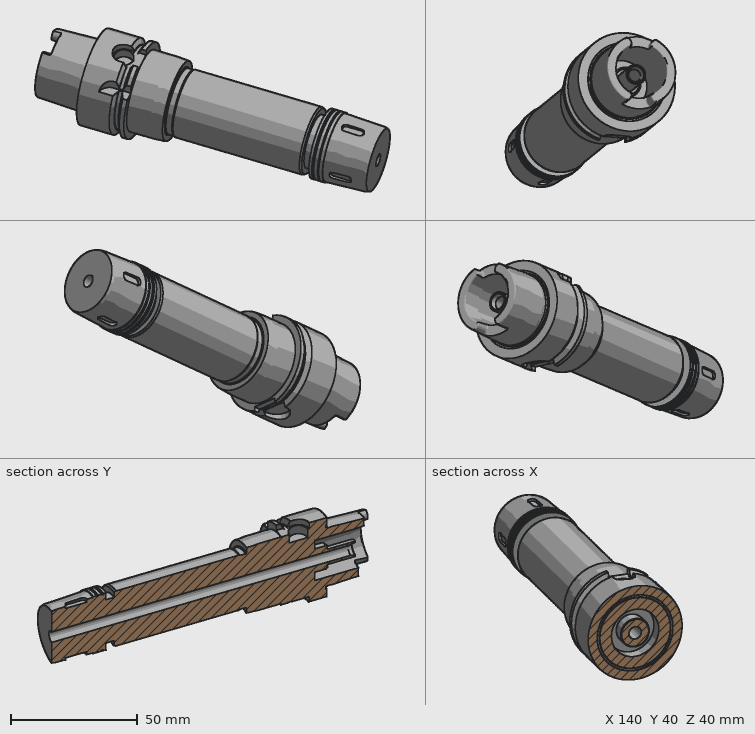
import cadquery as cq
import math

TOTAL_LENGTH = 140.0
TAPER_LENGTH = 20.0
TAPER_END = -TAPER_LENGTH
NUT_END = TOTAL_LENGTH - TAPER_LENGTH

TAPER_SMALL_RADIUS = 14.1
TAPER_LARGE_RADIUS = 14.8
TAPER_EDGE_ROUND = 0.5
RELIEF_LENGTH = 2.2
RELIEF_DEPTH = 0.1
RELIEF_SLOPE_LENGTH = 0.8
RELIEF_CORNER_LENGTH = 0.7
RELIEF_CORNER_HEIGHT = 0.4
FACE_RELIEF_RADIUS = 16.0
FACE_RELIEF_DEPTH = 0.3

FLANGE_RADIUS = 20.0
FLANGE_LENGTH = 20.0
GROOVE_CENTER = 16.0
GROOVE_BOTTOM_RADIUS = 17.4
GROOVE_BOTTOM_WIDTH = 1.7
GROOVE_STEP = 0.4
GROOVE_HALF_ANGLE = 30.0

HUB_RADIUS = 17.0
HUB_CONE_START = 29.8
HUB_END = 35.0
HUB_END_RADIUS = 16.7
HUB_CHAMFER_LENGTH = 0.5
HUB_CHAMFER_DEPTH = 0.1
NECK_RADIUS = 13.7
NECK_CORNER = 0.4
BODY_START = 38.0
BODY_RADIUS = 14.0
BODY_START_CHAMFER = 0.5
BODY_END = 92.8
BODY_END_CHAMFER_LENGTH = 0.8
BODY_END_CHAMFER_DEPTH = 0.4

NUT_NECK_RADIUS = 11.0
NUT_START = 96.2
NUT_RIM_RADIUS = 29.0 / 2
NUT_RIM_END = 101.9
NUT_GROOVE_DEPTH = 0.4
NUT_GROOVES = ((97.5, 0.7), (99.8, 0.4))
NUT_CONE_START_RADIUS = 14.1
NUT_CONE_END_RADIUS = 13.5
NUT_CHAMFER_LENGTH = 1.3
NUT_CHAMFER_DEPTH = 0.4
NUT_SLOT_COUNT = 4
NUT_SLOT_START = 104.7
NUT_SLOT_LENGTH = 9.1
NUT_SLOT_WIDTH = 3.5
NUT_SLOT_CORNER = 1.5
NUT_SLOT_FLOOR = 12.6

CAVITY_RADIUS = 10.5
CAVITY_CONE_LENGTH = 7.8
CAVITY_INNER_RADIUS = 10.0
CAVITY_DEPTH = 25.2
TUBE_RADIUS = 8.0 / 2
TUBE_MOUTH_RADIUS = 3.2
TUBE_MOUTH_DEPTH = 2.1
TUBE_EDGE_CHAMFER = 0.21
TUBE_START = 7.5 + TAPER_END
COLLAR_RADIUS = 6.0
COLLAR_TIP_RADIUS = 10.5 / 2
COLLAR_LENGTH = 5.6
BORE_RADIUS = 2.5

DRIVE_HALF_WIDTH = 8.0 / 2
DRIVE_EDGE_ROUND = 2.5
DRIVE_SHOULDER_HEIGHT = 12.9
DRIVE_FLOOR_FILLET = 0.7
DRIVE_DEPTH_TOP = 3.8
DRIVE_DEPTH_BOTTOM = 6.2

FLANGE_SLOT_START = 7.8
KEYWAY_RADIUS = 4.5
KEYWAY_FLOOR = 17.0
KEYWAY_HOLE_RADIUS = 8.0 / 2
KEYWAY_HOLE_DEPTH = 4.2
WIDE_KEYWAY_RADIUS = 5.5
WIDE_KEYWAY_FLOOR = 17.5
NOTCH_RADIUS = 4.9
NOTCH_WALL = 12.2
NOTCH_FLOOR = 11.9


def turned(points):
    """Solid of revolution about X from (x, radius) points that start and end on the axis."""
    return cq.Workplane("XY").polyline(points).close().revolve(360, (0, 0, 0), (1, 0, 0))


def outer_body():
    groove_half_bottom = GROOVE_BOTTOM_WIDTH / 2
    groove_slope_radius = GROOVE_BOTTOM_RADIUS + GROOVE_STEP
    groove_slope_width = (FLANGE_RADIUS - groove_slope_radius) * math.tan(math.radians(GROOVE_HALF_ANGLE))
    groove_half_top = groove_half_bottom + groove_slope_width
    relief_radius = TAPER_LARGE_RADIUS - RELIEF_DEPTH
    points = [
        (TAPER_END, 0),
        (TAPER_END, TAPER_SMALL_RADIUS),
        (-RELIEF_LENGTH, TAPER_LARGE_RADIUS),
        (RELIEF_SLOPE_LENGTH - RELIEF_LENGTH, relief_radius),
        (FACE_RELIEF_DEPTH - RELIEF_CORNER_LENGTH, relief_radius),
        (FACE_RELIEF_DEPTH, relief_radius + RELIEF_CORNER_HEIGHT),
        (FACE_RELIEF_DEPTH, FACE_RELIEF_RADIUS),
        (0, FACE_RELIEF_RADIUS),
        (0, FLANGE_RADIUS),
        (GROOVE_CENTER - groove_half_top, FLANGE_RADIUS),
        (GROOVE_CENTER - groove_half_bottom, groove_slope_radius),
        (GROOVE_CENTER - groove_half_bottom, GROOVE_BOTTOM_RADIUS),
        (GROOVE_CENTER + groove_half_bottom, GROOVE_BOTTOM_RADIUS),
        (GROOVE_CENTER + groove_half_bottom, groove_slope_radius),
        (GROOVE_CENTER + groove_half_top, FLANGE_RADIUS),
        (FLANGE_LENGTH, FLANGE_RADIUS),
        (FLANGE_LENGTH, HUB_RADIUS),
        (HUB_CONE_START, HUB_RADIUS),
        (HUB_END - HUB_CHAMFER_LENGTH, HUB_END_RADIUS),
        (HUB_END, HUB_END_RADIUS - HUB_CHAMFER_DEPTH),
        (HUB_END, NECK_RADIUS + NECK_CORNER),
        (HUB_END + NECK_CORNER, NECK_RADIUS),
        (BODY_START, NECK_RADIUS),
        (BODY_START + BODY_START_CHAMFER, BODY_RADIUS),
        (BODY_END - BODY_END_CHAMFER_LENGTH, BODY_RADIUS),
        (BODY_END, BODY_RADIUS - BODY_END_CHAMFER_DEPTH),
        (BODY_END, NUT_NECK_RADIUS),
        (NUT_START, NUT_NECK_RADIUS),
        (NUT_START, NUT_RIM_RADIUS),
    ]
    for start, width in NUT_GROOVES:
        points += [
            (start, NUT_RIM_RADIUS),
            (start, NUT_RIM_RADIUS - NUT_GROOVE_DEPTH),
            (start + width, NUT_RIM_RADIUS - NUT_GROOVE_DEPTH),
            (start + width, NUT_RIM_RADIUS),
        ]
    points += [
        (NUT_RIM_END, NUT_RIM_RADIUS),
        (NUT_RIM_END, NUT_CONE_START_RADIUS),
        (NUT_END - NUT_CHAMFER_LENGTH, NUT_CONE_END_RADIUS),
        (NUT_END, NUT_CONE_END_RADIUS - NUT_CHAMFER_DEPTH),
        (NUT_END, 0),
    ]
    return turned(points)


def cavity():
    cone_end = TAPER_END + CAVITY_CONE_LENGTH
    floor = TAPER_END + CAVITY_DEPTH
    return turned([
        (TAPER_END, 0),
        (TAPER_END, CAVITY_RADIUS),
        (cone_end, CAVITY_INNER_RADIUS),
        (floor, CAVITY_INNER_RADIUS),
        (floor, 0),
    ])


def coolant_tube():
    floor = TAPER_END + CAVITY_DEPTH
    collar_start = floor - COLLAR_LENGTH
    collar_chamfer = COLLAR_RADIUS - COLLAR_TIP_RADIUS
    return turned([
        (TUBE_START, 0),
        (TUBE_START, TUBE_RADIUS - TUBE_EDGE_CHAMFER),
        (TUBE_START + TUBE_EDGE_CHAMFER, TUBE_RADIUS),
        (collar_start, TUBE_RADIUS),
        (collar_start, COLLAR_TIP_RADIUS),
        (collar_start + collar_chamfer, COLLAR_RADIUS),
        (floor, COLLAR_RADIUS),
        (floor, 0),
    ])


def coolant_bore():
    return turned([
        (TUBE_START, 0),
        (TUBE_START, TUBE_MOUTH_RADIUS),
        (TUBE_START + TUBE_MOUTH_DEPTH, BORE_RADIUS),
        (NUT_END, BORE_RADIUS),
        (NUT_END, 0),
    ])


def drive_slot(depth):
    """Cutter for a drive slot on the +Z side, flaring outwards to round the edges of its walls."""
    inner = CAVITY_RADIUS / 2
    outer = FLANGE_RADIUS
    flare_start = DRIVE_SHOULDER_HEIGHT - DRIVE_EDGE_ROUND
    flare_width = DRIVE_HALF_WIDTH + DRIVE_EDGE_ROUND
    profile = (
        cq.Workplane("YZ", origin=(TAPER_END, 0, 0))
        .moveTo(-DRIVE_HALF_WIDTH, inner)
        .lineTo(DRIVE_HALF_WIDTH, inner)
        .lineTo(DRIVE_HALF_WIDTH, flare_start)
        .radiusArc((flare_width, DRIVE_SHOULDER_HEIGHT), DRIVE_EDGE_ROUND)
        .lineTo(outer, DRIVE_SHOULDER_HEIGHT)
        .lineTo(outer, outer)
        .lineTo(-outer, outer)
        .lineTo(-outer, DRIVE_SHOULDER_HEIGHT)
        .lineTo(-flare_width, DRIVE_SHOULDER_HEIGHT)
        .radiusArc((-DRIVE_HALF_WIDTH, flare_start), DRIVE_EDGE_ROUND)
        .close()
    )
    return profile.extrude(depth).faces(">X").edges().fillet(DRIVE_FLOOR_FILLET)


def flange_slot(radius, floor, center_y=0.0):
    """Cutter for a round-ended slot that starts in the flange and runs out of its rear face."""
    center_x = FLANGE_SLOT_START + radius
    height = FLANGE_RADIUS
    base = cq.Workplane("XY", origin=(center_x, center_y, floor))
    run = base.box(FLANGE_LENGTH - center_x, 2 * radius, height, centered=(False, True, False))
    return run.union(base.circle(radius).extrude(height))


def keyway_hole():
    center_x = FLANGE_SLOT_START + KEYWAY_RADIUS
    base = cq.Workplane("XY", origin=(center_x, 0, KEYWAY_FLOOR))
    return base.circle(KEYWAY_HOLE_RADIUS).extrude(-KEYWAY_HOLE_DEPTH)


def nut_slot():
    return (
        cq.Workplane("XY", origin=(NUT_SLOT_START, 0, NUT_SLOT_FLOOR))
        .box(NUT_SLOT_LENGTH, NUT_SLOT_WIDTH, NUT_RIM_RADIUS, centered=(False, True, False))
        .edges("|Z")
        .fillet(NUT_SLOT_CORNER)
    )


def about_axis(shape, angle):
    return shape.rotate((0, 0, 0), (1, 0, 0), angle)


result = outer_body().cut(cavity())
result = result.cut(drive_slot(DRIVE_DEPTH_TOP))
result = result.cut(about_axis(drive_slot(DRIVE_DEPTH_BOTTOM), 180))
result = result.faces("<X").edges().fillet(TAPER_EDGE_ROUND)
result = result.union(coolant_tube()).cut(coolant_bore())

result = result.cut(flange_slot(KEYWAY_RADIUS, KEYWAY_FLOOR)).cut(keyway_hole())
result = result.cut(about_axis(flange_slot(WIDE_KEYWAY_RADIUS, WIDE_KEYWAY_FLOOR), 180))
result = result.cut(flange_slot(NOTCH_RADIUS, NOTCH_FLOOR, -NOTCH_WALL - NOTCH_RADIUS))

for index in range(NUT_SLOT_COUNT):
    result = result.cut(about_axis(nut_slot(), index * 360 / NUT_SLOT_COUNT))